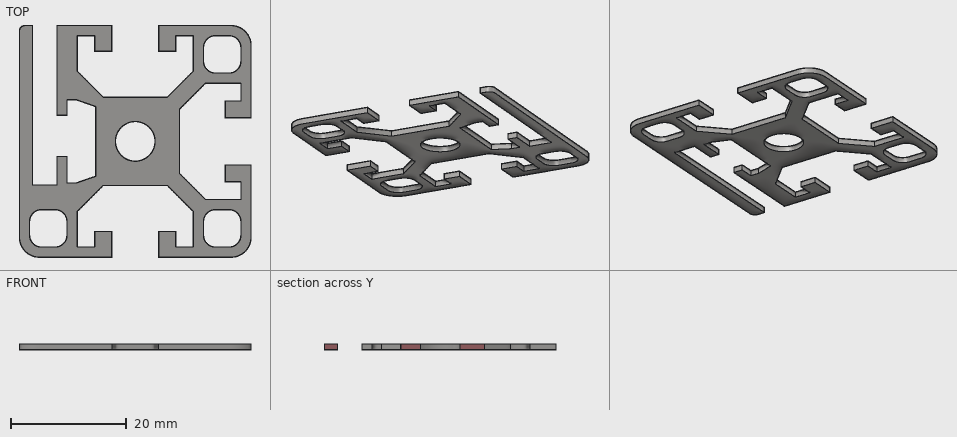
import cadquery as cq

side = 40.0
thickness = 1.0
half_side = side / 2
corner_radius = 3.5
bore_diameter = 6.8

mouth_half_width = 4.05
cavity_half_width = 10.0
hook_width = 2.95
hook_depth = 4.5
wall = 1.8
floor_distance = 7.65
shoulder_distance = 12.1
floor_half_width = cavity_half_width - (shoulder_distance - floor_distance)

pocket_size = 6.4
pocket_radius = 2.0
pocket_centre = half_side - wall - pocket_size / 2

bar_right = -17.7
bar_tip_radius = 1.0
slit_right = -13.5
slit_bottom = -7.5
lip_right = -11.75
upper_lip_end = 4.5
lower_lip_end = -2.6
cavity_floor = -6.85
cavity_flank_start = -10.15
cavity_mouth_half_height = 7.15
cavity_floor_half_height = 6.0


def prism(points):
    return cq.Workplane("XY").polyline(points).close().extrude(thickness)


def make_plate():
    plate = cq.Workplane("XY").rect(side, side).extrude(thickness)
    plate = plate.edges("|Z and (>X or <Y)").fillet(corner_radius)
    return plate.edges("|Z and <X and >Y").fillet(bar_tip_radius)


def t_slot(angle):
    """T-slot opening towards +Y, turned about Z by the given angle."""
    hook_outer = mouth_half_width + hook_width
    right_half = [
        (mouth_half_width, half_side),
        (mouth_half_width, half_side - hook_depth),
        (hook_outer, half_side - hook_depth),
        (hook_outer, half_side - wall),
        (cavity_half_width, half_side - wall),
        (cavity_half_width, shoulder_distance),
        (floor_half_width, floor_distance),
    ]
    left_half = [(-x, y) for x, y in reversed(right_half)]
    return prism(right_half + left_half).rotate((0, 0, 0), (0, 0, 1), angle)


def corner_pocket(x_sign, y_sign):
    pocket = cq.Workplane("XY").center(x_sign * pocket_centre, y_sign * pocket_centre)
    pocket = pocket.rect(pocket_size, pocket_size).extrude(thickness)
    return pocket.edges("|Z").fillet(pocket_radius)


def left_opening():
    """Slit and lipped cavity, joined through the gap between the two lips."""
    return prism([
        (bar_right, half_side),
        (bar_right, slit_bottom),
        (slit_right, slit_bottom),
        (slit_right, lower_lip_end),
        (lip_right, lower_lip_end),
        (lip_right, -cavity_mouth_half_height),
        (cavity_flank_start, -cavity_mouth_half_height),
        (cavity_floor, -cavity_floor_half_height),
        (cavity_floor, cavity_floor_half_height),
        (cavity_flank_start, cavity_mouth_half_height),
        (lip_right, cavity_mouth_half_height),
        (lip_right, upper_lip_end),
        (slit_right, upper_lip_end),
        (slit_right, half_side),
    ])


result = make_plate()
for slot_angle in (0, 180, 270):
    result = result.cut(t_slot(slot_angle))
for x_sign, y_sign in ((1, 1), (1, -1), (-1, -1)):
    result = result.cut(corner_pocket(x_sign, y_sign))
result = result.cut(left_opening())
result = result.cut(cq.Workplane("XY").circle(bore_diameter / 2).extrude(thickness))